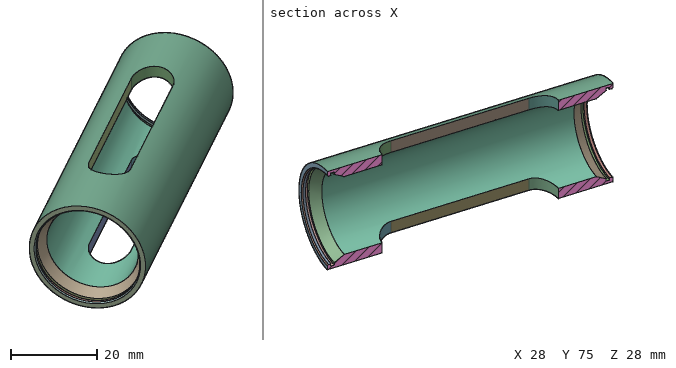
import cadquery as cq

length = 75.0
outer_diameter = 28.0
bore_diameter = 22.0

mouth_diameter = 25.6
lip_diameter = 25.0
groove_diameter = 26.25
chamfer_depth = 0.3
groove_start = 1.0
groove_end = 1.8
taper_end = 4.4

slot_length = 46.2
slot_width = 10.05


def make_tube():
    """Revolve the wall section, with matching mouths at both ends."""
    half_length = length / 2
    outer_radius = outer_diameter / 2
    mouth_profile = [
        (mouth_diameter / 2, 0),
        (lip_diameter / 2, chamfer_depth),
        (lip_diameter / 2, groove_start),
        (groove_diameter / 2, groove_start),
        (groove_diameter / 2, groove_end),
        (lip_diameter / 2, groove_end),
        (bore_diameter / 2, taper_end),
    ]
    front_mouth = [(radius, depth - half_length) for radius, depth in mouth_profile]
    back_mouth = [(radius, half_length - depth) for radius, depth in reversed(mouth_profile)]
    outer_wall = [(outer_radius, half_length), (outer_radius, -half_length)]
    section = cq.Workplane("XY").polyline(front_mouth + back_mouth + outer_wall).close()
    return section.revolve(360, (0, 0, 0), (0, 1, 0))


def make_slot_cutter():
    """Vertical slot prism reaching through both walls."""
    slot = cq.Workplane("XY").slot2D(slot_length, slot_width, angle=90)
    return slot.extrude(outer_diameter, both=True)


result = make_tube().cut(make_slot_cutter())